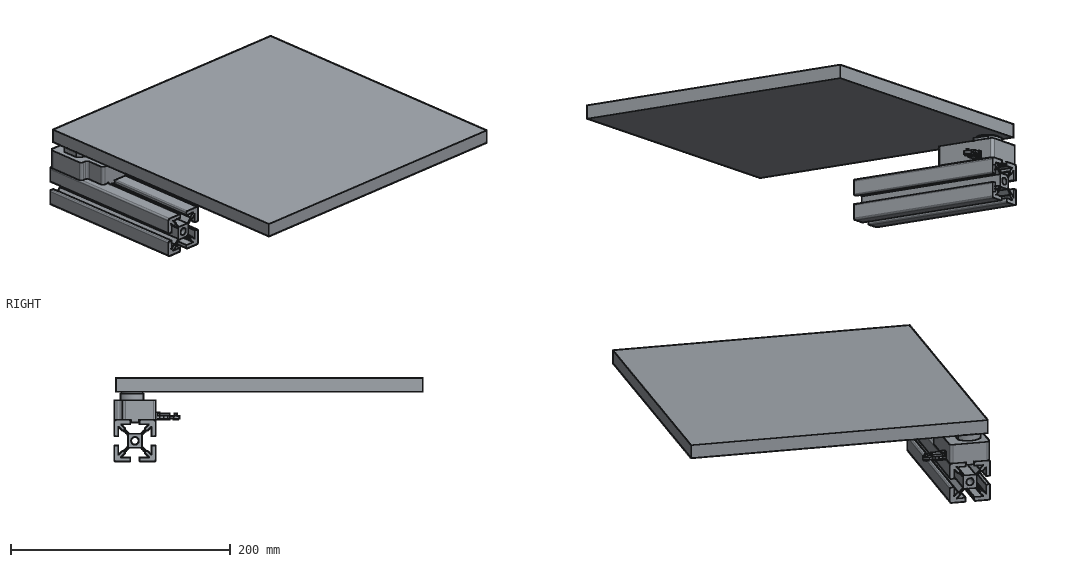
import cadquery as cq
import math


RAIL_SIZE = 38.0
RAIL_LENGTH = 152.9
RAIL_CENTER = RAIL_SIZE / 2
LIP_THICKNESS = 4.0
SLOT_WIDTH = 8.1
CORE_SIZE = 13.0
CORE_BORE = 6.7
WEB_THICKNESS = 1.7
WEB_ROOT_THICKNESS = 3.5
WEB_ROOT_OFFSET = 10.0
RAIL_CORNER_RADIUS = 1.7
LIP_TIP_RADIUS = 1.0

BLOCK_LENGTH = 60.5
BLOCK_FRONT_LENGTH = 40.2
BLOCK_STEP = 7.5
BLOCK_HEIGHT = 18.0
BLOCK_OUTER_RADIUS = 3.0
BLOCK_RADIUS = 2.5
TONGUE_WIDTH = 7.3
TONGUE_DEPTH = 2.5

NUT_X = 20.2
NUT_Y = 16.3
NUT_DIAMETER = 26.5
NUT_FLATS = 21.4
NUT_HEIGHT = 6.0
WASHER_DIAMETER = 20.0
WASHER_HEIGHT = 1.7

PLATE_SIZE = 279.3
PLATE_THICKNESS = 12.6
PLATE_OFFSET = 1.7

LATCH_X = 15.2
MOUNT_DEPTH = 3.7
MOUNT_WIDTH = 5.5
MOUNT_HEIGHT = 7.0
LATCH_BODY_GAP = 1.7
LATCH_BODY_DEPTH = 11.2
LATCH_BODY_WIDTH = 6.7
LATCH_BODY_HEIGHT = 6.0
LATCH_CAP = 2.2
ARM_BOTTOM = 1.0
ARM_THICKNESS = 2.5
ARM_WIDTH = 5.5
ARM_EYE_DIAMETER = 6.7
ARM_REACH = 18.3
ARM_STOP_DEPTH = 3.5
PIN_DIAMETER = 2.5
PIN_HEAD_DIAMETER = 4.8

RAIL_TOP = RAIL_SIZE
BLOCK_TOP = RAIL_TOP + BLOCK_HEIGHT
NUT_TOP = BLOCK_TOP + NUT_HEIGHT
PLATE_BOTTOM = NUT_TOP + WASHER_HEIGHT
BLOCK_BACK = RAIL_SIZE
MOUNT_BACK = BLOCK_BACK + MOUNT_DEPTH
ARM_Z = RAIL_TOP + ARM_BOTTOM
EYE_Y = BLOCK_BACK + ARM_REACH


def box_at(x_size, y_size, z_size, x, y, z):
    """Box with its lower -X, -Y corner at x, y, z."""
    return cq.Workplane("XY").box(x_size, y_size, z_size, centered=False).translate((x, y, z))


def disc_at(diameter, height, x, y, z):
    """Upright cylinder whose lower face is centered at x, y, z."""
    return cq.Workplane("XY", origin=(x, y, z)).circle(diameter / 2).extrude(height)


def rail_bar(y_size, z_size):
    """Full-length rectangular bar on the rail axis."""
    return (
        cq.Workplane("YZ", origin=(0, RAIL_CENTER, RAIL_CENTER))
        .rect(y_size, z_size)
        .extrude(RAIL_LENGTH)
    )


def make_rail():
    inside = RAIL_SIZE - 2 * LIP_THICKNESS
    shell = rail_bar(RAIL_SIZE, RAIL_SIZE).edges("|X").fillet(RAIL_CORNER_RADIUS)
    shell = shell.cut(rail_bar(inside, inside))
    slots = rail_bar(RAIL_SIZE, SLOT_WIDTH).union(rail_bar(SLOT_WIDTH, RAIL_SIZE))
    shell = shell.cut(slots)

    low_tip = RAIL_CENTER - SLOT_WIDTH / 2
    high_tip = RAIL_CENTER + SLOT_WIDTH / 2
    for tip in (low_tip, high_tip):
        for side in (0, RAIL_SIZE):
            for y, z in ((tip, side), (side, tip)):
                tip_edge = cq.selectors.NearestToPointSelector((RAIL_LENGTH / 2, y, z))
                shell = shell.edges("|X").edges(tip_edge).fillet(LIP_TIP_RADIUS)

    diagonal = math.sqrt(2)
    web_end = (inside / 2) * diagonal + LIP_THICKNESS / 2
    root_length = web_end - WEB_ROOT_OFFSET * diagonal
    thin_web = rail_bar(2 * web_end, WEB_THICKNESS)
    root_shift = web_end - root_length / 2
    roots = rail_bar(root_length, WEB_ROOT_THICKNESS)
    cross_bar = thin_web.union(roots.translate((0, root_shift, 0)))
    cross_bar = cross_bar.union(roots.translate((0, -root_shift, 0)))
    axis_start = (0, RAIL_CENTER, RAIL_CENTER)
    axis_end = (RAIL_LENGTH, RAIL_CENTER, RAIL_CENTER)
    for angle in (45, 135):
        shell = shell.union(cross_bar.rotate(axis_start, axis_end, angle))

    bore = (
        cq.Workplane("YZ", origin=axis_start)
        .circle(CORE_BORE / 2)
        .extrude(RAIL_LENGTH)
    )
    return shell.union(rail_bar(CORE_SIZE, CORE_SIZE)).cut(bore)


def make_block():
    outline = [
        (0, 0),
        (BLOCK_FRONT_LENGTH, 0),
        (BLOCK_FRONT_LENGTH, BLOCK_STEP),
        (BLOCK_LENGTH, BLOCK_STEP),
        (BLOCK_LENGTH, BLOCK_BACK),
        (0, BLOCK_BACK),
    ]
    block = cq.Workplane("XY", origin=(0, 0, RAIL_TOP)).polyline(outline).close().extrude(BLOCK_HEIGHT)
    mid_height = RAIL_TOP + BLOCK_HEIGHT / 2
    radii = [BLOCK_OUTER_RADIUS] + [BLOCK_RADIUS] * (len(outline) - 1)
    for (x, y), radius in zip(outline, radii):
        corner_edge = cq.selectors.NearestToPointSelector((x, y, mid_height))
        block = block.edges("|Z").edges(corner_edge).fillet(radius)
    tongue = box_at(
        BLOCK_LENGTH, TONGUE_WIDTH, TONGUE_DEPTH,
        0, RAIL_CENTER - TONGUE_WIDTH / 2, RAIL_TOP - TONGUE_DEPTH,
    )
    return block.union(tongue)


def make_nut():
    disc = disc_at(NUT_DIAMETER, NUT_HEIGHT, NUT_X, NUT_Y, BLOCK_TOP)
    flats = box_at(
        NUT_DIAMETER, NUT_FLATS, NUT_HEIGHT,
        NUT_X - NUT_DIAMETER / 2, NUT_Y - NUT_FLATS / 2, BLOCK_TOP,
    )
    return disc.intersect(flats)


def make_washer():
    return disc_at(WASHER_DIAMETER, WASHER_HEIGHT, NUT_X, NUT_Y, NUT_TOP)


def make_plate():
    return box_at(PLATE_SIZE, PLATE_SIZE, PLATE_THICKNESS, PLATE_OFFSET, PLATE_OFFSET, PLATE_BOTTOM)


def make_latch_mount():
    return box_at(MOUNT_WIDTH, MOUNT_DEPTH, MOUNT_HEIGHT, LATCH_X - MOUNT_WIDTH / 2, BLOCK_BACK, RAIL_TOP)


def make_latch_arm():
    """Arm with a round eye at its free end and a wide stop against the mount."""
    shank = box_at(
        ARM_WIDTH, EYE_Y - MOUNT_BACK, ARM_THICKNESS,
        LATCH_X - ARM_WIDTH / 2, MOUNT_BACK, ARM_Z,
    )
    stop = box_at(
        LATCH_BODY_WIDTH, ARM_STOP_DEPTH, ARM_THICKNESS,
        LATCH_X - LATCH_BODY_WIDTH / 2, MOUNT_BACK, ARM_Z,
    )
    eye = disc_at(ARM_EYE_DIAMETER, ARM_THICKNESS, LATCH_X, EYE_Y, ARM_Z)
    hole = disc_at(PIN_DIAMETER, ARM_THICKNESS, LATCH_X, EYE_Y, ARM_Z)
    return shank.union(stop).union(eye).cut(hole)


def make_latch_body():
    """Box straddling the mount, with side windows and a slot in its end wall for the arm."""
    left = LATCH_X - LATCH_BODY_WIDTH / 2
    front = BLOCK_BACK + LATCH_BODY_GAP
    body = box_at(LATCH_BODY_WIDTH, LATCH_BODY_DEPTH, LATCH_BODY_HEIGHT, left, front, RAIL_TOP)
    window = box_at(LATCH_BODY_WIDTH, LATCH_BODY_DEPTH - LATCH_CAP, ARM_THICKNESS, left, front, ARM_Z)
    arm_slot = box_at(ARM_WIDTH, LATCH_BODY_DEPTH, ARM_THICKNESS, LATCH_X - ARM_WIDTH / 2, front, ARM_Z)
    return body.cut(window).cut(arm_slot).cut(make_latch_mount())


def make_pin():
    """Headed pin, the head below the arm and the tip level with the latch body."""
    head = disc_at(PIN_HEAD_DIAMETER, ARM_BOTTOM, LATCH_X, EYE_Y, RAIL_TOP)
    shank = disc_at(PIN_DIAMETER, LATCH_BODY_HEIGHT, LATCH_X, EYE_Y, RAIL_TOP)
    return head.union(shank)


rail = make_rail()
block = make_block()
nut = make_nut()
washer = make_washer()
plate = make_plate()
latch_mount = make_latch_mount()
latch_body = make_latch_body()
latch_arm = make_latch_arm()
latch_pin = make_pin()

result = cq.Compound.makeCompound(
    [body.val() for body in (rail, block, nut, washer, plate, latch_mount, latch_body, latch_arm, latch_pin)]
)